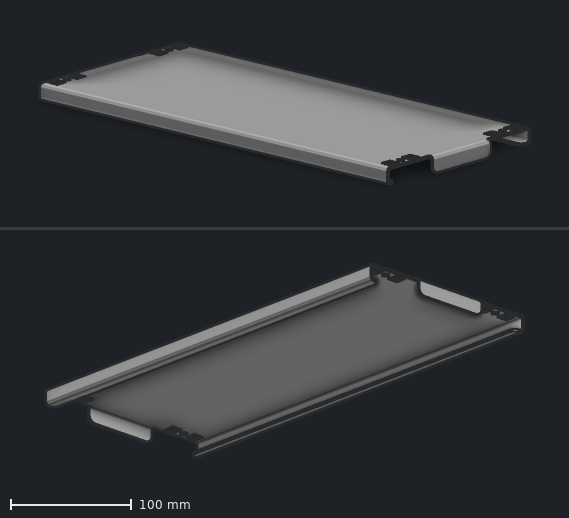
import cadquery as cq

length = 399.0
width = 175.0
height = 15.0

sheet = 2.0
bend_radius = 4.0
inner_bend_radius = bend_radius - sheet

plate_length = length - 2 * bend_radius

lip_width = 10.0
lip_corner_radius = 6.0

tab_width = 71.0
tab_corner_radius = 6.0

hole_x = 187.5
hole_y = 62.5
hole_pitch = 12.5
square_size = 10.0
round_diameter = 6.0


def make_channel():
    """Plate with a flange and an inward lip along each long edge."""
    outer = cq.Workplane("YZ").rect(width, height).extrude(plate_length / 2, both=True)
    outer = outer.edges("|X").fillet(bend_radius)
    inner = cq.Workplane("YZ").rect(width - 2 * sheet, height - 2 * sheet)
    inner = inner.extrude(plate_length / 2, both=True)
    inner = inner.edges("|X").fillet(inner_bend_radius)
    return outer.cut(inner)


def cut_lip_opening(channel):
    """Part the lips and round their free corners in plan."""
    lip_edge = width / 2 - lip_width
    half = plate_length / 2
    straight_end = half - lip_corner_radius
    flare = lip_edge + lip_corner_radius
    opening = (
        cq.Workplane("XY", origin=(0, 0, -height / 2))
        .moveTo(-half, -flare)
        .radiusArc((-straight_end, -lip_edge), lip_corner_radius)
        .lineTo(straight_end, -lip_edge)
        .radiusArc((half, -flare), lip_corner_radius)
        .lineTo(half, flare)
        .radiusArc((straight_end, lip_edge), lip_corner_radius)
        .lineTo(-straight_end, lip_edge)
        .radiusArc((-half, flare), lip_corner_radius)
        .close()
        .extrude(bend_radius)
    )
    return channel.cut(opening)


def make_tab():
    """Tab bent down from the +X end of the plate."""
    top = height / 2
    start = plate_length / 2
    end = length / 2
    bend_z = top - bend_radius
    tab = (
        cq.Workplane("XZ")
        .moveTo(start, top)
        .radiusArc((end, bend_z), bend_radius)
        .lineTo(end, -top)
        .lineTo(end - sheet, -top)
        .lineTo(end - sheet, bend_z)
        .radiusArc((start, top - sheet), -inner_bend_radius)
        .close()
        .extrude(tab_width / 2, both=True)
    )
    tab_corners = tab.faces("<Z").edges("|X")
    return tab_corners.fillet(tab_corner_radius)


def make_holes():
    """Cutters for the hole groups at the four plate corners."""
    corners = [(sx * hole_x, sy * hole_y) for sx in (-1, 1) for sy in (-1, 1)]
    squares = [(x, y + step) for x, y in corners for step in (-hole_pitch, hole_pitch)]
    plane = cq.Workplane("XY", origin=(0, 0, height / 2 - sheet))
    square_cutters = plane.pushPoints(squares).rect(square_size, square_size).extrude(sheet)
    return square_cutters.union(plane.pushPoints(corners).circle(round_diameter / 2).extrude(sheet))


tab = make_tab()
result = cut_lip_opening(make_channel()).union(tab).union(tab.mirror("YZ")).cut(make_holes())